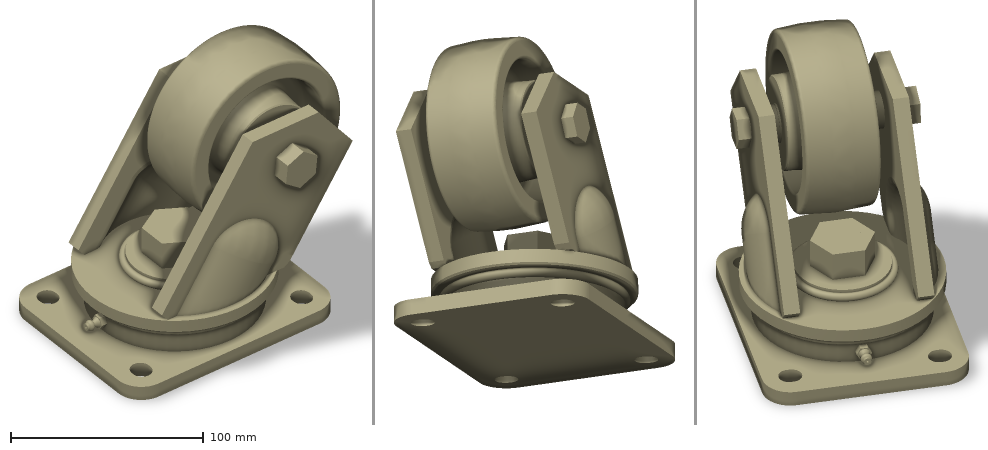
import cadquery as cq
import math


PLATE_WIDTH = 110.0
PLATE_LENGTH = 134.9
PLATE_THICKNESS = 8.5
PLATE_CORNER_RADIUS = 15.0
SLOT_SPACING_X = 80.0
SLOT_SPACING_Y = 105.0
SLOT_LENGTH = 12.5
SLOT_WIDTH = 11.0
DRUM_DIAMETER = 95.0
DRUM_TOP = 19.7
LOWER_SEAL_DIAMETER = 100.0
LOWER_SEAL_TOP = 24.9
KINGPIN_DIAMETER = 19.8

FITTING_Z = 15.0
FITTING_HEX_FLATS = 7.2
FITTING_HEX_LENGTH = 3.2
FITTING_SHOULDER_DIAMETER = 6.0
FITTING_SHOULDER_LENGTH = 2.1
FITTING_NECK_DIAMETER = 3.5
FITTING_NECK_LENGTH = 0.8
FITTING_BALL_DIAMETER = 6.0
FITTING_BALL_LENGTH = 3.2
FITTING_TIP_DIAMETER = 4.0
FITTING_TIP_LENGTH = 1.3
FITTING_HOLE_DIAMETER = 1.1
FITTING_HOLE_DEPTH = 1.6
FITTING_ROOT = 3.2

DISC_DIAMETER = 108.0
DISC_TOP = 33.0
DISC_CHAMFER = 1.0
UPPER_SEAL_DIAMETER = 58.2
UPPER_SEAL_TOP = 37.0
WASHER_DIAMETER = 51.5
WASHER_TOP = 38.8
NUT_FLATS = 30.0
NUT_TOP = 55.0

WHEEL_RADIUS = 50.0
WHEEL_EDGE_RADIUS = 48.6
WHEEL_WIDTH = 40.0
WHEEL_EDGE_ROUND = 2.0
AXLE_Y = 45.0
AXLE_Z = 100.0
RIM_INNER_RADIUS = 37.7
RIM_INNER_ROUND = 1.3
WEB_THICKNESS = 5.0
WEB_RIM_FILLET = 3.1
WEB_HUB_FILLET = 2.8
RECESS_DRAFT = 5
HUB_RADIUS = 25.4
HUB_WIDTH = 48.6
HUB_CHAMFER = 0.6
COLLAR_DIAMETER = 21.0
COLLAR_WIDTH = 50.5
BUSH_DIAMETER = 20.0
BUSH_WIDTH = 61.5
AXLE_DIAMETER = 12.2

LEG_INNER_X = 31.5
LEG_OUTER_X = 40.1
LEG_OUTLINE = [
    (-35.1, DISC_TOP),
    (-39.0, 37.7),
    (20.3, 123.2),
    (63.5, 123.2),
    (85.8, 94.9),
    (44.5, 35.5),
    (41.0, DISC_TOP),
]

BULGE_LEAN = 55.8
BULGE_TOP_Y = 14.5
BULGE_TOP_Z = 54.0
BULGE_REACH_X = 49.9
BULGE_HALF_WIDTH = 24.4
BULGE_CAP_AXIS_X = 23.7
BULGE_WALL = 8.6
BULGE_MOUTH_ROUND = 7.0

BOLT_HEAD_FLATS = 18.5
BOLT_HEAD_END_X = 47.5
BOLT_FACE_DIAMETER = 16.5
BOLT_FACE_THICKNESS = 0.5
BOLT_NUT_FLATS = 19.5
BOLT_NUT_END_X = 49.9
BOLT_NUT_TURN = 24


def disc(diameter, bottom, top):
    """Round disc on the swivel axis between two heights."""
    return cq.Workplane("XY").workplane(offset=bottom).circle(diameter / 2).extrude(top - bottom)


def seal_ring(diameter, neck_diameter, bottom, top):
    """Disc on the swivel axis whose rim is one arc, bulging out from the neck diameter."""
    neck_radius = neck_diameter / 2
    return (
        cq.Workplane("XZ")
        .moveTo(0, bottom)
        .lineTo(neck_radius, bottom)
        .threePointArc((diameter / 2, (bottom + top) / 2), (neck_radius, top))
        .lineTo(0, top)
        .close()
        .revolve(360, (0, 0, 0), (0, 1, 0))
    )


def hexagon(workplane, flats, length, turn=0):
    """Hexagonal prism of a given width across its flats."""
    corners = flats / math.cos(math.radians(30))
    return workplane.transformed(rotate=(0, 0, turn)).polygon(6, corners).extrude(length)


def axle_plane(x):
    """Plane across the axle at a given X, with local X along +Y and local Y along +Z."""
    return cq.Workplane("YZ", origin=(x, AXLE_Y, AXLE_Z))



def grease_fitting():
    """Hexagon, shoulder, neck, ball and tip, pointing toward -Y from the drum."""
    start_y = -DRUM_DIAMETER / 2
    hex_start = cq.Workplane("XZ", origin=(0, start_y + FITTING_ROOT, FITTING_Z))
    body = hexagon(hex_start, FITTING_HEX_FLATS, FITTING_ROOT + FITTING_HEX_LENGTH)

    shoulder_end = FITTING_HEX_LENGTH + FITTING_SHOULDER_LENGTH
    neck_end = shoulder_end + FITTING_NECK_LENGTH
    ball_end = neck_end + FITTING_BALL_LENGTH
    tip_end = ball_end + FITTING_TIP_LENGTH
    neck_radius = FITTING_NECK_DIAMETER / 2
    tip_radius = FITTING_TIP_DIAMETER / 2
    stem = (
        cq.Workplane("XY")
        .moveTo(0, 0)
        .lineTo(FITTING_SHOULDER_DIAMETER / 2, 0)
        .lineTo(FITTING_SHOULDER_DIAMETER / 2, -FITTING_HEX_LENGTH)
        .lineTo(neck_radius, -shoulder_end)
        .lineTo(neck_radius, -neck_end)
        .threePointArc(
            (FITTING_BALL_DIAMETER / 2, -neck_end - FITTING_BALL_LENGTH / 2),
            (tip_radius, -ball_end),
        )
        .lineTo(tip_radius, -tip_end)
        .lineTo(0, -tip_end)
        .close()
        .revolve(360, (0, 0, 0), (0, 1, 0))
        .translate((0, start_y, FITTING_Z))
    )
    hole = (
        cq.Workplane("XZ", origin=(0, start_y - tip_end + FITTING_HOLE_DEPTH, FITTING_Z))
        .circle(FITTING_HOLE_DIAMETER / 2)
        .extrude(FITTING_HOLE_DEPTH)
    )
    return body.union(stem).cut(hole)


def make_base():
    plate = (
        cq.Workplane("XY")
        .rect(PLATE_WIDTH, PLATE_LENGTH)
        .extrude(PLATE_THICKNESS)
        .edges("|Z")
        .fillet(PLATE_CORNER_RADIUS)
        .faces(">Z")
        .workplane()
        .rarray(SLOT_SPACING_X, SLOT_SPACING_Y, 2, 2)
        .slot2D(SLOT_LENGTH, SLOT_WIDTH)
        .cutThruAll()
    )
    drum = disc(DRUM_DIAMETER, PLATE_THICKNESS, DRUM_TOP)
    seal = seal_ring(LOWER_SEAL_DIAMETER, DRUM_DIAMETER, DRUM_TOP, LOWER_SEAL_TOP)
    kingpin = disc(KINGPIN_DIAMETER, LOWER_SEAL_TOP, NUT_TOP)
    return plate.union(drum).union(seal).union(kingpin).union(grease_fitting())



def swivel_head():
    """Swivel disc with the seal, washer and nut, bored for the kingpin."""
    plate = disc(DISC_DIAMETER, LOWER_SEAL_TOP, DISC_TOP).faces("<Z").edges().chamfer(DISC_CHAMFER)
    seal = seal_ring(UPPER_SEAL_DIAMETER, WASHER_DIAMETER, DISC_TOP, UPPER_SEAL_TOP)
    washer = disc(WASHER_DIAMETER, UPPER_SEAL_TOP, WASHER_TOP)
    nut = hexagon(cq.Workplane("XY").workplane(offset=WASHER_TOP), NUT_FLATS, NUT_TOP - WASHER_TOP)
    bore = disc(KINGPIN_DIAMETER, LOWER_SEAL_TOP, NUT_TOP)
    return plate.union(seal).union(washer).union(nut).cut(bore)


def bulge_form(inset):
    """Leaning round-backed form with a turned cap, its surface inset from the bulge's outside."""
    outer_rise = BULGE_REACH_X - LEG_OUTER_X
    arc_radius = (BULGE_HALF_WIDTH ** 2 + outer_rise ** 2) / (2 * outer_rise)
    arc_center_x = BULGE_REACH_X - arc_radius
    reach = BULGE_REACH_X - inset
    radius = arc_radius - inset
    half_width = math.sqrt(radius ** 2 - (BULGE_CAP_AXIS_X - arc_center_x) ** 2)

    lean = math.radians(BULGE_LEAN)
    section_plane = cq.Plane(
        origin=(0, BULGE_TOP_Y, BULGE_TOP_Z),
        xDir=(1, 0, 0),
        normal=(0, -math.cos(lean), -math.sin(lean)),
    )

    def section():
        return (
            cq.Workplane(section_plane)
            .moveTo(BULGE_CAP_AXIS_X, -half_width)
            .threePointArc((reach, 0), (BULGE_CAP_AXIS_X, half_width))
            .close()
        )

    straight = section().extrude(2 * BULGE_TOP_Z)
    cap = section().revolve(360, (BULGE_CAP_AXIS_X, 0, 0), (BULGE_CAP_AXIS_X, 1, 0))
    return straight.union(cap)


def region(x_start, x_end):
    """Block above the swivel disc between two X positions."""
    size = 2 * PLATE_LENGTH
    return (
        cq.Workplane("XY", origin=((x_start + x_end) / 2, 0, DISC_TOP))
        .rect(x_end - x_start, size)
        .extrude(size)
    )


def fork_leg():
    """Leg on the +X side, with its bulge pressed outward and hollow inside."""
    leg = (
        cq.Workplane("YZ", origin=(LEG_INNER_X, 0, 0))
        .polyline(LEG_OUTLINE)
        .close()
        .extrude(LEG_OUTER_X - LEG_INNER_X)
    )
    bulge = bulge_form(0).intersect(region(LEG_OUTER_X, BULGE_REACH_X))
    hollow = bulge_form(BULGE_WALL).intersect(region(LEG_INNER_X, BULGE_REACH_X))
    leg = leg.union(bulge).cut(hollow)
    mouth_edges = cq.selectors.BoxSelector(
        (LEG_INNER_X - 1.6, BULGE_TOP_Y - 2 * BULGE_HALF_WIDTH, DISC_TOP + 1.6),
        (LEG_INNER_X + 1.6, BULGE_TOP_Y + 2 * BULGE_HALF_WIDTH, BULGE_TOP_Z + BULGE_HALF_WIDTH),
    )
    return leg.faces("<X").edges(mouth_edges).fillet(BULGE_MOUTH_ROUND)


def axle_bolt():
    """Bolt through both legs: head on the -X side, nut on the +X side."""
    shank = axle_plane(-LEG_OUTER_X).circle(AXLE_DIAMETER / 2).extrude(2 * LEG_OUTER_X)
    face_x = -LEG_OUTER_X - BOLT_FACE_THICKNESS
    face = axle_plane(face_x).circle(BOLT_FACE_DIAMETER / 2).extrude(BOLT_FACE_THICKNESS)
    head = hexagon(axle_plane(-BOLT_HEAD_END_X), BOLT_HEAD_FLATS, BOLT_HEAD_END_X + face_x)
    nut = hexagon(axle_plane(LEG_OUTER_X), BOLT_NUT_FLATS, BOLT_NUT_END_X - LEG_OUTER_X, BOLT_NUT_TURN)
    return shank.union(face).union(head).union(nut)


def make_fork():
    leg = fork_leg()
    return swivel_head().union(leg).union(leg.mirror("YZ")).union(axle_bolt())



def axle_cylinder(radius, width):
    """Cylinder on the axle, centred between the legs."""
    return axle_plane(-width / 2).circle(radius).extrude(width)


def make_wheel():
    half_width = WHEEL_WIDTH / 2
    half_web = WEB_THICKNESS / 2
    wheel = (
        cq.Workplane("XY")
        .moveTo(-half_width, 0)
        .lineTo(-half_width, WHEEL_EDGE_RADIUS)
        .threePointArc((0, WHEEL_RADIUS), (half_width, WHEEL_EDGE_RADIUS))
        .lineTo(half_width, 0)
        .close()
        .revolve(360, (0, 0, 0), (1, 0, 0))
        .edges()
        .fillet(WHEEL_EDGE_ROUND)
        .translate((0, AXLE_Y, AXLE_Z))
    )
    for floor, side in (("<X", 1), (">X", -1)):
        mouth = axle_plane(side * half_width)
        depth = side * (half_web - half_width)
        core = mouth.circle(HUB_RADIUS).extrude(depth, taper=-RECESS_DRAFT)
        recess = mouth.circle(RIM_INNER_RADIUS).extrude(depth, taper=RECESS_DRAFT).cut(core)
        recess = recess.faces(floor).edges(cq.selectors.RadiusNthSelector(-1)).fillet(WEB_RIM_FILLET)
        recess = recess.faces(floor).edges(cq.selectors.RadiusNthSelector(0)).fillet(WEB_HUB_FILLET)
        wheel = wheel.cut(recess)
    rim_mouths = wheel.faces("<X or >X").edges(cq.selectors.RadiusNthSelector(1))
    wheel = rim_mouths.fillet(RIM_INNER_ROUND)
    hub = axle_cylinder(HUB_RADIUS, HUB_WIDTH).faces("<X or >X").edges().chamfer(HUB_CHAMFER)
    wheel = wheel.union(hub)
    return (
        wheel.union(axle_cylinder(COLLAR_DIAMETER / 2, COLLAR_WIDTH))
        .union(axle_cylinder(BUSH_DIAMETER / 2, BUSH_WIDTH))
        .cut(axle_cylinder(AXLE_DIAMETER / 2, BUSH_WIDTH))
    )


base = make_base()
fork = make_fork()
wheel = make_wheel()
result = cq.Compound.makeCompound([base.val(), fork.val(), wheel.val()])